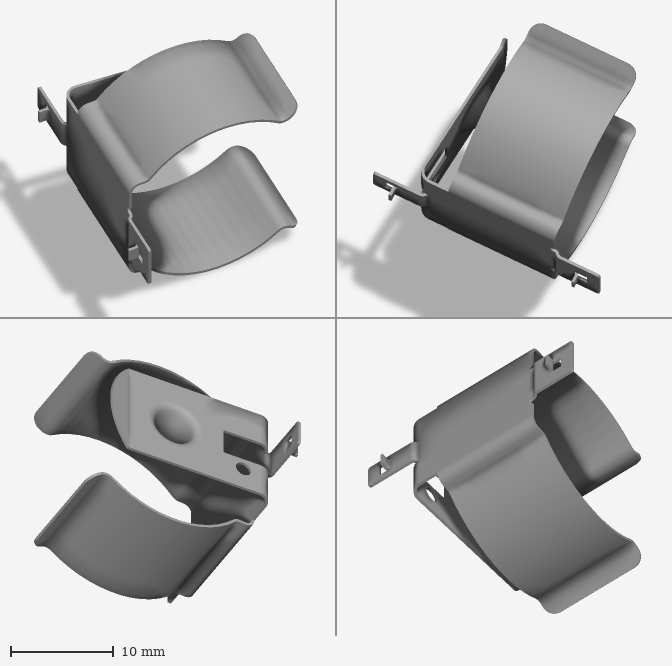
import cadquery as cq
import math


SHEET = 0.3

PLATE_HALF_HEIGHT = 5.45
PLATE_RIGHT = 7.2
PLATE_LEFT = -6.42
RELIEF_RADIUS = 0.42

LEAF_BEND_RADIUS = 1.33
LEAF_LEAN = 5
LEAF_KINK_Y = 15.5
LEAF_KINK_RADIUS = 0.45
TIP_LEAN = 15
TIP_Y = 17.9
WINDOW_TOP = 5.45
WINDOW_CORNER = 0.25
HOLE_RADIUS = 0.8
HOLE_Y = 3.27
HOLE_Z = -2.88

DOME_Y = 10.6
DOME_RIM_RADIUS = 2.95
DOME_ROLL_RADIUS = 0.7
DOME_SLOPE = 55

ARM_LEFT = -4.28
ARM_RADIUS = 10.29
ARM_CENTER_Y = 9.95
ARM_BEND_RADIUS = 1.1
ARM_ROOT_RADIUS = 0.55
MOUTH_RADIUS = 0.89
MOUTH_Z = 7.97
FLARE_ANGLE = 33
FLARE_END_Y = 18.65
FLARE_CORNER = 1.3

TAB_END = 12.3
TAB_DROP = 0.4
JOGGLE_LENGTH = 0.79
LEFT_TAB_HALF_WIDTH = 1.55
RIGHT_TAB_HALF_WIDTH = 2.5
TAB_CORNER = 0.32
SLOT_INNER = 9.5
SLOT_OUTER = 10.98
SLOT_HALF_WIDTH = 0.76
PIN_BEND_RADIUS = 0.3
PIN_END_Y = -1.4


def sind(angle):
    return math.sin(math.radians(angle))


def cosd(angle):
    return math.cos(math.radians(angle))


def acosd(value):
    return math.degrees(math.acos(value))


def ahead(point, heading, distance):
    """Point reached by moving a distance along a heading in degrees."""
    return (point[0] + distance * cosd(heading), point[1] + distance * sind(heading))


def bent_strip(plane, start, heading, steps, near, far):
    """Strip that follows one sheet face, with the material on the right of the path.

    Each step is (length, 0) for a flat or (face radius, turn) for a bend, where a
    positive turn goes left.  The strip runs from near to far along the plane normal.
    """
    def pair(point, direction):
        return point, ahead(point, direction - 90, SHEET)

    joints = [pair(start, heading)]
    middles = []
    point = start
    for size, turn in steps:
        if turn == 0:
            point = ahead(point, heading, size)
            middles.append(None)
        else:
            to_center = heading + math.copysign(90, turn)
            center = ahead(point, to_center, size)
            middle = ahead(center, to_center + 180 + turn / 2, size)
            middles.append(pair(middle, heading + turn / 2))
            point = ahead(center, to_center + 180 + turn, size)
            heading += turn
        joints.append(pair(point, heading))

    def trace(sketch, side, order):
        for middle, joint in order:
            if middle is None:
                sketch = sketch.lineTo(*joint[side])
            else:
                sketch = sketch.threePointArc(middle[side], joint[side])
        return sketch

    sketch = cq.Workplane(plane).workplane(offset=near).moveTo(*start)
    sketch = trace(sketch, 0, zip(middles, joints[1:]))
    sketch = sketch.lineTo(*joints[-1][1])
    sketch = trace(sketch, 1, zip(reversed(middles), reversed(joints[:-1])))
    return sketch.close().extrude(far - near)


def box(x_range, y_range, z_range):
    spans = (x_range, y_range, z_range)
    sizes = [high - low for low, high in spans]
    corner = tuple(low for low, high in spans)
    return cq.Workplane("XY").box(*sizes, centered=False).translate(corner)


leaf_heading = 90 - LEAF_LEAN
tip_heading = 90 + TIP_LEAN
leaf_foot = ahead((PLATE_LEFT, LEAF_BEND_RADIUS), 180 - LEAF_LEAN, LEAF_BEND_RADIUS)
leaf_length = (LEAF_KINK_Y - leaf_foot[1]) / cosd(LEAF_LEAN)
kink_start = ahead(leaf_foot, leaf_heading, leaf_length)
kink_center = ahead(kink_start, leaf_heading + 90, LEAF_KINK_RADIUS)
kink_end = ahead(kink_center, tip_heading - 90, LEAF_KINK_RADIUS)


def plate_and_leaf():
    steps = [
        (PLATE_RIGHT - PLATE_LEFT, 0),
        (LEAF_BEND_RADIUS, -90 - LEAF_LEAN),
        (leaf_length, 0),
        (LEAF_KINK_RADIUS, LEAF_LEAN + TIP_LEAN),
    ]
    return bent_strip("XY", (PLATE_RIGHT, 0), 180, steps, -PLATE_HALF_HEIGHT, PLATE_HALF_HEIGHT)


def leaf_tip():
    """Round end of the leaf, drawn flat on its own leaning face."""
    height = (TIP_Y - kink_end[1]) / cosd(TIP_LEAN)
    inward = (cosd(TIP_LEAN), sind(TIP_LEAN), 0)
    plane = cq.Plane(origin=(*kink_end, 0), xDir=(0, 0, -1), normal=inward)
    return (
        cq.Workplane(plane)
        .moveTo(-PLATE_HALF_HEIGHT, 0)
        .threePointArc((0, height), (PLATE_HALF_HEIGHT, 0))
        .close()
        .extrude(SHEET)
    )


def leaf_window():
    """Opening left in the leaf where the left tab is cut free."""
    x_range = (PLATE_LEFT - 2 * LEAF_BEND_RADIUS, PLATE_LEFT)
    z_range = (-LEFT_TAB_HALF_WIDTH, LEFT_TAB_HALF_WIDTH)
    return box(x_range, (-SHEET, WINDOW_TOP), z_range).edges("|X and >Y").fillet(WINDOW_CORNER)


def leaf_hole():
    return (
        cq.Workplane("YZ", origin=(PLATE_LEFT - 2 * LEAF_BEND_RADIUS, HOLE_Y, HOLE_Z))
        .circle(HOLE_RADIUS)
        .extrude(2 * LEAF_BEND_RADIUS)
    )


def leaf_plane_at(y):
    """Plane across the leaf, with its origin on the outer face and local Y pointing inwards."""
    along = (y - leaf_foot[1]) / cosd(LEAF_LEAN)
    origin = ahead(leaf_foot, leaf_heading, along)
    along_leaf = (cosd(leaf_heading), sind(leaf_heading), 0)
    return cq.Plane(origin=(*origin, 0), xDir=along_leaf, normal=(0, 0, -1))


def dome_section(roll_radius, sphere_radius, face):
    """Points of one dome surface: rim, roll middle, roll end, sphere middle, apex.

    Each point is (distance from the dome axis, height above the outer leaf face); the
    rim lies at the height of the given leaf face.
    """
    def roll(angle):
        return (DOME_RIM_RADIUS - roll_radius * sind(angle), face + roll_radius * (1 - cosd(angle)))

    roll_end = roll(DOME_SLOPE)
    center_height = roll_end[1] - sphere_radius * cosd(DOME_SLOPE)

    def sphere(angle):
        return (sphere_radius * sind(angle), center_height + sphere_radius * cosd(angle))

    return roll(0), roll(DOME_SLOPE / 2), roll_end, sphere(DOME_SLOPE / 2), sphere(0)


def add_dome(body):
    plane = leaf_plane_at(DOME_Y)
    sphere_radius = (DOME_RIM_RADIUS - DOME_ROLL_RADIUS * sind(DOME_SLOPE)) / sind(DOME_SLOPE)
    convex = dome_section(DOME_ROLL_RADIUS, sphere_radius, SHEET)
    concave = dome_section(DOME_ROLL_RADIUS + SHEET, sphere_radius - SHEET, 0)
    shell = (
        cq.Workplane(plane)
        .moveTo(*convex[0])
        .threePointArc(convex[1], convex[2])
        .threePointArc(convex[3], convex[4])
        .lineTo(*concave[4])
        .threePointArc(concave[3], concave[2])
        .threePointArc(concave[1], concave[0])
        .close()
        .revolve(360, (0, 0), (0, 1))
    )
    opening = cq.Solid.makeCylinder(DOME_RIM_RADIUS, SHEET, plane.origin, plane.yDir)
    return body.cut(opening).union(shell)


def gripping_arm():
    """Upper arm: bent off the plate edge, curved round the battery, flared at the mouth."""
    flat_z = PLATE_HALF_HEIGHT + ARM_BEND_RADIUS
    root_angle = acosd((flat_z + ARM_ROOT_RADIUS) / (ARM_RADIUS + ARM_ROOT_RADIUS))
    root_y = ARM_CENTER_Y - (ARM_RADIUS + ARM_ROOT_RADIUS) * sind(root_angle)
    mouth_angle = acosd((MOUTH_Z + MOUTH_RADIUS) / (ARM_RADIUS + MOUTH_RADIUS))
    mouth_y = ARM_CENTER_Y + (ARM_RADIUS + MOUTH_RADIUS) * sind(mouth_angle)
    flare_start_y = mouth_y + MOUTH_RADIUS * sind(FLARE_ANGLE)
    flare_length = (FLARE_END_Y - SHEET * sind(FLARE_ANGLE) - flare_start_y) / cosd(FLARE_ANGLE)
    steps = [
        (ARM_BEND_RADIUS, -90),
        (root_y - ARM_BEND_RADIUS, 0),
        (ARM_ROOT_RADIUS, root_angle),
        (ARM_RADIUS, -root_angle - mouth_angle),
        (MOUTH_RADIUS, mouth_angle + FLARE_ANGLE),
        (flare_length, 0),
    ]
    arm = bent_strip("YZ", (0, PLATE_HALF_HEIGHT), 90, steps, ARM_LEFT, PLATE_RIGHT)
    return arm.faces(">Y").edges("not |X").fillet(FLARE_CORNER)


def soldering_tab(start_x, half_width):
    """Tab running towards -X, joggled outwards, with a pin lanced out of its slot."""
    joggle_angle = 2 * math.degrees(math.atan(TAB_DROP / JOGGLE_LENGTH))
    mid_radius = JOGGLE_LENGTH / (2 * sind(joggle_angle))
    steps = [
        (mid_radius - SHEET / 2, joggle_angle),
        (mid_radius + SHEET / 2, -joggle_angle),
        (TAB_END + start_x - JOGGLE_LENGTH, 0),
    ]
    tab = bent_strip("XY", (start_x, 0), 180, steps, -half_width, half_width)
    tab = tab.edges("|Y and <X").fillet(TAB_CORNER)
    slot_z = (-SLOT_HALF_WIDTH, SLOT_HALF_WIDTH)
    slot = box((-SLOT_OUTER, -SLOT_INNER), (-TAB_DROP - SHEET, SHEET), slot_z)
    pin_steps = [
        (PIN_BEND_RADIUS, 90),
        (-TAB_DROP - PIN_BEND_RADIUS - PIN_END_Y, 0),
    ]
    pin = bent_strip("XY", (-SLOT_INNER, -TAB_DROP), 180, pin_steps, *slot_z)
    return tab.cut(slot).union(pin)


def corner_reliefs():
    offset = RIGHT_TAB_HALF_WIDTH + RELIEF_RADIUS
    return (
        cq.Workplane("XZ", origin=(PLATE_RIGHT, -SHEET, 0))
        .pushPoints([(0, -offset), (0, offset)])
        .circle(RELIEF_RADIUS)
        .extrude(-3 * SHEET)
    )


body = plate_and_leaf().union(leaf_tip())
body = body.cut(leaf_window()).cut(leaf_hole()).cut(corner_reliefs())
body = add_dome(body)

upper_arm = gripping_arm()
lower_arm = upper_arm.mirror("XY")
left_tab = soldering_tab(PLATE_LEFT, LEFT_TAB_HALF_WIDTH)
right_tab = soldering_tab(-PLATE_RIGHT, RIGHT_TAB_HALF_WIDTH).mirror("YZ")

result = body.union(upper_arm).union(lower_arm).union(left_tab).union(right_tab)